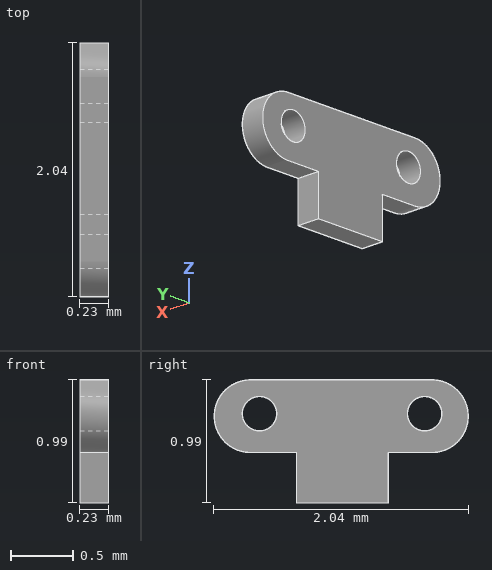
import cadquery as cq

thickness = 0.23
bar_length = 2.04
bar_height = 0.585
minus_y_end_depth = 0.282
plus_y_end_depth = 0.275
total_height = 0.99

tab_width = 0.738
tab_center_y = 0.010

hole_diameter = 0.274
hole_spacing = 1.325
hole_center_y = 0.007
hole_rise = 0.020

top_z = total_height / 2
bottom_z = -total_height / 2
bar_center_z = top_z - bar_height / 2
hole_z = bar_center_z + hole_rise


def side_plane():
    """YZ sketch plane on the -X face: local x is Y, local y is Z."""
    return cq.Workplane("YZ", origin=(-thickness / 2, 0, 0))


def make_bar():
    """Flat bar whose ends are arcs slightly shallower than half circles."""
    bar_bottom_z = top_z - bar_height
    end_y = bar_length / 2
    minus_y_arc_start = -end_y + minus_y_end_depth
    plus_y_arc_start = end_y - plus_y_end_depth
    return (
        side_plane()
        .moveTo(minus_y_arc_start, bar_bottom_z)
        .lineTo(plus_y_arc_start, bar_bottom_z)
        .threePointArc((end_y, bar_center_z), (plus_y_arc_start, top_z))
        .lineTo(minus_y_arc_start, top_z)
        .threePointArc((-end_y, bar_center_z), (minus_y_arc_start, bar_bottom_z))
        .close()
        .extrude(thickness)
    )


def make_tab():
    """Rectangular tab reaching from the bar's middle line to the bottom."""
    tab_height = bar_center_z - bottom_z
    tab_center_z = (bar_center_z + bottom_z) / 2
    return side_plane().center(tab_center_y, tab_center_z).rect(tab_width, tab_height).extrude(thickness)


def make_holes():
    """Cutters for the pair of through holes."""
    hole_points = [(side * hole_spacing / 2, 0) for side in (-1, 1)]
    return (
        side_plane()
        .center(hole_center_y, hole_z)
        .pushPoints(hole_points)
        .circle(hole_diameter / 2)
        .extrude(thickness)
    )


result = make_bar().union(make_tab()).cut(make_holes())